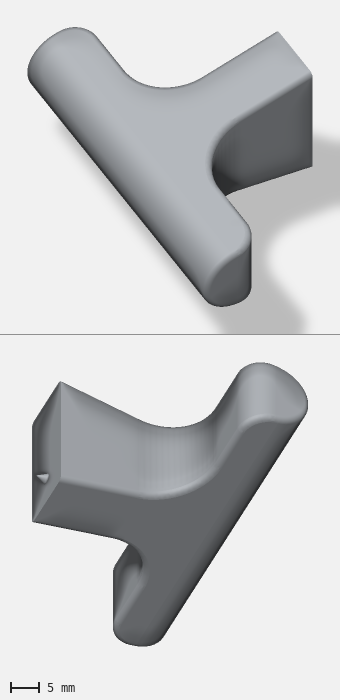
import cadquery as cq
import math

handle_width = 60.0
stem_width = 12.0
stem_straight = 15.0
inner_radius = 10.0
outer_radius = 5.0

back_height = 25.55
nose_radius = 7.0
nose_center = 29.65
edge_radius = 1.0

pin_diameter = 2.0
pin_length = 2.0
pin_drop = 7.0

half_handle = handle_width / 2
half_stem = stem_width / 2
half_back = back_height / 2
nose_tip = nose_center + nose_radius
bar_back = stem_straight + inner_radius

nose_distance = math.hypot(nose_center, half_back)
slope_angle = math.atan2(half_back, nose_center) - math.asin(nose_radius / nose_distance)
tangent_y = -(nose_center + nose_radius * math.sin(slope_angle))
tangent_z = nose_radius * math.cos(slope_angle)


def make_wedge():
    """Tapering side profile with a rounded nose, extruded over the full width."""
    return (
        cq.Workplane("YZ")
        .moveTo(0, half_back)
        .lineTo(tangent_y, tangent_z)
        .threePointArc((-nose_tip, 0), (tangent_y, -tangent_z))
        .lineTo(0, -half_back)
        .close()
        .extrude(half_handle, both=True)
    )


def make_tee():
    """T-shaped plan: a stem flaring into a crossbar with rounded shoulders."""
    shoulder_y = -(bar_back + outer_radius)
    front_y = -(nose_tip + edge_radius)
    return (
        cq.Workplane("XY")
        .moveTo(-half_stem, 0)
        .lineTo(half_stem, 0)
        .lineTo(half_stem, -stem_straight)
        .radiusArc((half_stem + inner_radius, -bar_back), -inner_radius)
        .lineTo(half_handle - outer_radius, -bar_back)
        .radiusArc((half_handle, shoulder_y), outer_radius)
        .lineTo(half_handle, front_y)
        .lineTo(-half_handle, front_y)
        .lineTo(-half_handle, shoulder_y)
        .radiusArc((-half_handle + outer_radius, -bar_back), outer_radius)
        .lineTo(-half_stem - inner_radius, -bar_back)
        .radiusArc((-half_stem, -stem_straight), -inner_radius)
        .close()
        .extrude(half_back, both=True)
    )


def make_pin():
    """Cone pointing along +Y, below the middle of the stem end."""
    base_center = cq.Vector(0, 0, -pin_drop)
    pin_direction = cq.Vector(0, 1, 0)
    cone = cq.Solid.makeCone(pin_diameter / 2, 0, pin_length, base_center, pin_direction)
    return cq.Workplane(cone)


body = make_wedge().intersect(make_tee())

stem_box = cq.selectors.BoxSelector(
    (-half_handle, -stem_straight, -half_back),
    (half_handle, -edge_radius, half_back),
)
body = body.edges(stem_box).fillet(edge_radius)

result = body.union(make_pin())